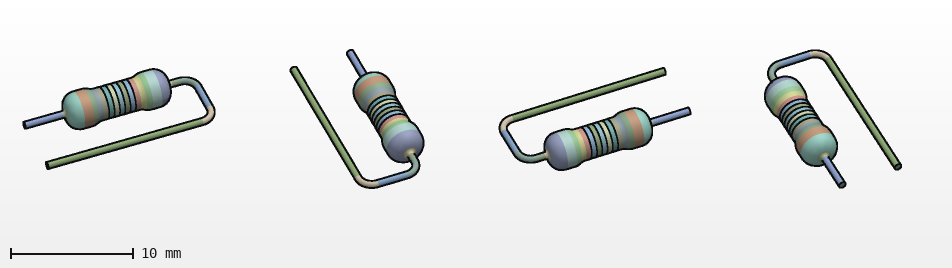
import cadquery as cq
import math

lead_diameter = 0.6
lead_radius = lead_diameter / 2
lead_pitch = 5.0
overall_length = 15.1
bend_radius = 1.2

body_center_y = 8.1
cap_diameter = 3.2
core_diameter = 2.72
band_diameter = 2.73
band_width = 0.47
segment_count = 7
cap_start = 2.57
cap_end = 3.4
dome_radius = 1.12
neck_end = 4.8

cap_radius = cap_diameter / 2
band_radius = band_diameter / 2
core_half_length = segment_count * band_width / 2


def make_cap(direction):
    """End cap on the +Y or -Y side: flared shoulder, straight wall, dome and neck."""
    shoulder_rise = (cap_radius - band_radius) / 2
    shoulder_run = (cap_start - core_half_length) / 2
    shoulder_radius = (shoulder_rise**2 + shoulder_run**2) / (2 * shoulder_rise)
    shoulder_mid = (band_radius + shoulder_rise, core_half_length + shoulder_run)

    dome_center = cap_radius - dome_radius
    offset = dome_center - lead_radius
    rise = neck_end - cap_end
    neck_radius = (offset**2 + rise**2 - dome_radius**2) / (2 * (dome_radius + offset))
    dome_angle = math.asin(rise / (dome_radius + neck_radius))
    dome_tip = (
        dome_center + dome_radius * math.cos(dome_angle),
        cap_end + dome_radius * math.sin(dome_angle),
    )

    def place(point):
        radius, distance = point
        return (radius, body_center_y + direction * distance)

    return (
        cq.Workplane("XY")
        .moveTo(*place((0, core_half_length)))
        .lineTo(*place((band_radius, core_half_length)))
        .radiusArc(place(shoulder_mid), direction * shoulder_radius)
        .radiusArc(place((cap_radius, cap_start)), -direction * shoulder_radius)
        .lineTo(*place((cap_radius, cap_end)))
        .radiusArc(place(dome_tip), -direction * dome_radius)
        .radiusArc(place((lead_radius, neck_end)), direction * neck_radius)
        .lineTo(*place((0, neck_end)))
        .close()
        .revolve(360, (0, 0, 0), (0, 1, 0))
    )


def make_core():
    """Banded cylinder between the two caps."""
    start = body_center_y - core_half_length
    core = None
    for index in range(segment_count):
        diameter = band_diameter if index % 2 == 0 else core_diameter
        segment_start = start + index * band_width
        segment = cq.Solid.makeCylinder(
            diameter / 2, band_width, cq.Vector(0, segment_start, 0), cq.Vector(0, 1, 0)
        )
        core = cq.Workplane(segment) if core is None else core.union(segment)
    return core


def make_lead():
    """Round wire through the body, bent over into a second leg parallel to it."""
    crossbar_y = overall_length - lead_radius
    bend_start_y = crossbar_y - bend_radius
    path = (
        cq.Workplane("XY")
        .lineTo(0, bend_start_y)
        .radiusArc((bend_radius, crossbar_y), bend_radius)
        .lineTo(lead_pitch - bend_radius, crossbar_y)
        .radiusArc((lead_pitch, bend_start_y), bend_radius)
        .lineTo(lead_pitch, 0)
    )
    return cq.Workplane("XZ").circle(lead_radius).sweep(path)


body = make_core().union(make_cap(1)).union(make_cap(-1))
result = body.union(make_lead())